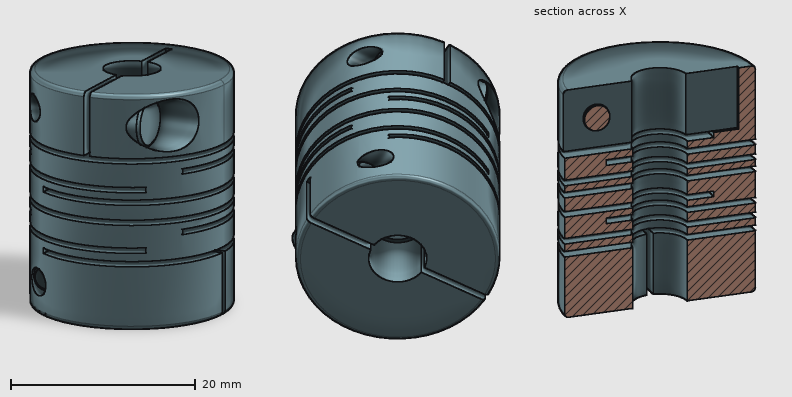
import cadquery as cq

outer_diameter = 22.2
height = 26.5
bore_diameter = 6.3
end_fillet = 0.5
mid_height = height / 2

slot_thickness = 0.6
slot_reach = 6.2
slot_offsets = [1.13, 2.55, 4.27, 5.79]
hub_height = mid_height - slot_offsets[-1] - slot_thickness / 2

slit_width = 0.72
top_slit_reach = 9.1

screw_offset = 7.28
screw_end_distance = 3.63
screw_diameter = 3.0
screw_length = 9.4
tip_chamfer = 0.3
head_diameter = 5.6
head_length = 3.0
head_chamfer = 0.3
head_seat = 2.78
counterbore_diameter = 5.9

X_AXIS = cq.Vector(1, 0, 0)
Y_AXIS = cq.Vector(0, 1, 0)
top_screw_centre = cq.Vector(0, -screw_offset, height - screw_end_distance)
bottom_screw_centre = cq.Vector(-screw_offset, 0, screw_end_distance)


def make_body():
    """Round body with filleted ends and a through bore."""
    body = cq.Workplane("XY").circle(outer_diameter / 2).extrude(height)
    body = body.edges().fillet(end_fillet)
    bore = cq.Workplane("XY").circle(bore_diameter / 2).extrude(height)
    return body.cut(bore)


def make_slot(entry_angle, z_centre):
    """Slot entering from the given direction, ending slot_reach beyond the axis."""
    length = outer_diameter + slot_reach
    slot = cq.Workplane("XY").box(length, 2 * outer_diameter, slot_thickness)
    slot = slot.translate((length / 2 - slot_reach, 0, z_centre))
    return slot.rotate((0, 0, 0), (0, 0, 1), entry_angle)


def cut_flexure_slots(body):
    """Four pairs of opposed slots, alternating between the Y and X directions."""
    inner, second, third, outer = slot_offsets
    from_minus_y = [outer, -inner]
    from_plus_y = [third, -second]
    from_minus_x = [second, -third]
    from_plus_x = [inner, -outer]
    slots_by_angle = {0: from_plus_x, 90: from_plus_y, 180: from_minus_x, 270: from_minus_y}
    for angle, offsets in slots_by_angle.items():
        for offset in offsets:
            body = body.cut(make_slot(angle, mid_height + offset))
    return body


def cut_clamp_slits(body):
    """Blind slit from -Y in the top hub, full-width slit along X in the bottom hub."""
    top_length = outer_diameter / 2 + top_slit_reach
    top_slit = (
        cq.Workplane("XY")
        .box(slit_width, top_length, hub_height, centered=(True, False, False))
        .translate((0, -outer_diameter / 2, height - hub_height))
    )
    bottom_slit = cq.Workplane("XY").box(
        outer_diameter, slit_width, hub_height, centered=(True, True, False)
    )
    return body.cut(top_slit).cut(bottom_slit)


def rod(centre, axis, diameter, start, end):
    """Cylinder along axis between two distances measured from centre."""
    base = centre + axis * start
    return cq.Workplane(cq.Solid.makeCylinder(diameter / 2, end - start, base, axis))


def cut_screw_hole(body, centre, axis):
    """Through hole for the thread with a counterbore on the head side."""
    hole = rod(centre, axis, screw_diameter, -outer_diameter / 2, outer_diameter / 2)
    counterbore = rod(centre, axis, counterbore_diameter, head_seat, outer_diameter / 2)
    return body.cut(hole).cut(counterbore)


def make_screw(centre, axis):
    """Cap screw with its head towards +axis and a chamfered tip."""
    along = "X" if axis == X_AXIS else "Y"
    shank = rod(centre, axis, screw_diameter, head_seat - screw_length, head_seat)
    shank = shank.faces("<" + along).edges().chamfer(tip_chamfer)
    head = rod(centre, axis, head_diameter, head_seat, head_seat + head_length)
    head = head.faces(">" + along).edges().chamfer(head_chamfer)
    return shank.union(head)


result = cut_clamp_slits(cut_flexure_slots(make_body()))
for screw_centre, screw_axis in [(top_screw_centre, X_AXIS), (bottom_screw_centre, Y_AXIS)]:
    result = cut_screw_hole(result, screw_centre, screw_axis)
    result = result.union(make_screw(screw_centre, screw_axis))